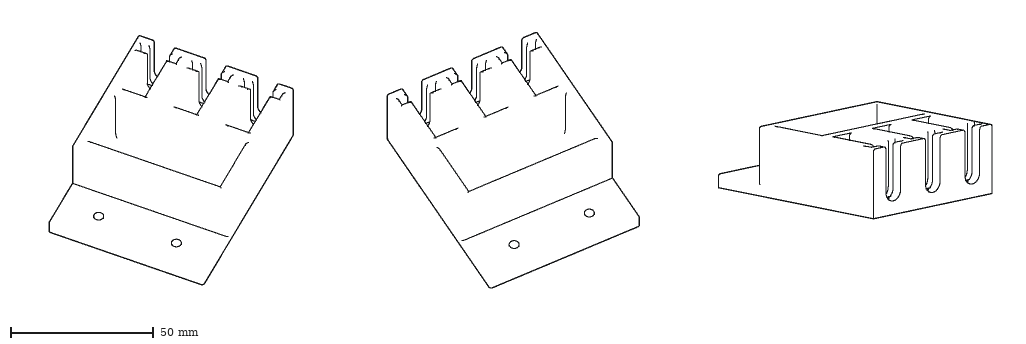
import cadquery as cq

width = 60.0
length = 76.5
height = 25.0
flange_depth = 20.05
flange_thickness = 5.05
edge_radius = 1.0

hole_diameter = 3.5
hole_spacing = 30.0

wall = 5.0
floor_thickness = 5.0

channel_count = 3
channel_pitch = 20.0
channel_width = 7.5
channel_length = 25.0
slot_length = 14.5
slot_width = 2.4
slot_setback = 4.9

channel_end_y = length - channel_length
tray_front_y = flange_depth + wall
tray_length = channel_end_y - wall - tray_front_y
tray_width = width - 2 * wall
slot_y = length - slot_setback
channel_positions = [(i - (channel_count - 1) / 2) * channel_pitch for i in range(channel_count)]


def box_between(size_x, front_y, back_y, bottom_z, top_z):
    """Box centred on x = 0 and spanning the given y and z limits."""
    base = cq.Workplane("XY", origin=(0, (front_y + back_y) / 2, bottom_z))
    return base.box(size_x, back_y - front_y, top_z - bottom_z, centered=(True, True, False))


def rounded_block(front_y, top_z):
    """Block reaching the back face, rounded along its top sides and its front corners."""
    block = box_between(width, front_y, length, 0, top_z)
    return block.edges("(>Z and |Y) or (>Z and <Y) or (|Z and <Y)").fillet(edge_radius)


def tray_pocket():
    """Rectangular pocket with a rounded edge around its floor."""
    pocket = box_between(tray_width, tray_front_y, tray_front_y + tray_length, floor_thickness, height)
    return pocket.faces("<Z").edges().fillet(edge_radius)


def channel(x):
    """U-shaped channel with a half-round bottom and a flat front end."""
    radius = channel_width / 2
    profile = (
        cq.Workplane("XZ", origin=(x, length, 0))
        .moveTo(-radius, height)
        .lineTo(-radius, floor_thickness + radius)
        .threePointArc((0, floor_thickness), (radius, floor_thickness + radius))
        .lineTo(radius, height)
        .close()
    )
    return profile.extrude(channel_length)


def cross_slot(x):
    """Narrow slot across a channel, with its two lower end corners rounded."""
    slot = box_between(slot_length, slot_y - slot_width / 2, slot_y + slot_width / 2, floor_thickness, height)
    return slot.edges("<Z and |Y").edges("<X or >X").fillet(edge_radius).translate((x, 0, 0))


def round_cavity_rims(solid):
    """Round the top rims of all cavities except the square front ends of the channels."""
    tolerance = 0.01
    rims = []
    for edge in solid.faces(">Z").edges().vals():
        box = edge.BoundingBox()
        on_outline = (
            abs(edge.Center().x) > width / 2 - 2 * edge_radius
            or box.ymax < flange_depth + 2 * edge_radius
            or box.ymin > length - tolerance
        )
        is_channel_end = box.ymin > channel_end_y - tolerance and box.ymax < channel_end_y + tolerance
        if not on_outline and not is_channel_end:
            rims.append(edge)
    return solid.newObject(rims).fillet(edge_radius)


def mounting_holes():
    """Two pins that cut the mounting holes through the middle of the flange."""
    centers = [(side * hole_spacing / 2, flange_depth / 2) for side in (-1, 1)]
    return cq.Workplane("XY").pushPoints(centers).circle(hole_diameter / 2).extrude(flange_thickness)


result = rounded_block(0, flange_thickness).union(rounded_block(flange_depth, height))
result = result.cut(tray_pocket())
for channel_x in channel_positions:
    result = result.cut(channel(channel_x)).cut(cross_slot(channel_x))
result = round_cavity_rims(result)
result = result.cut(mounting_holes())